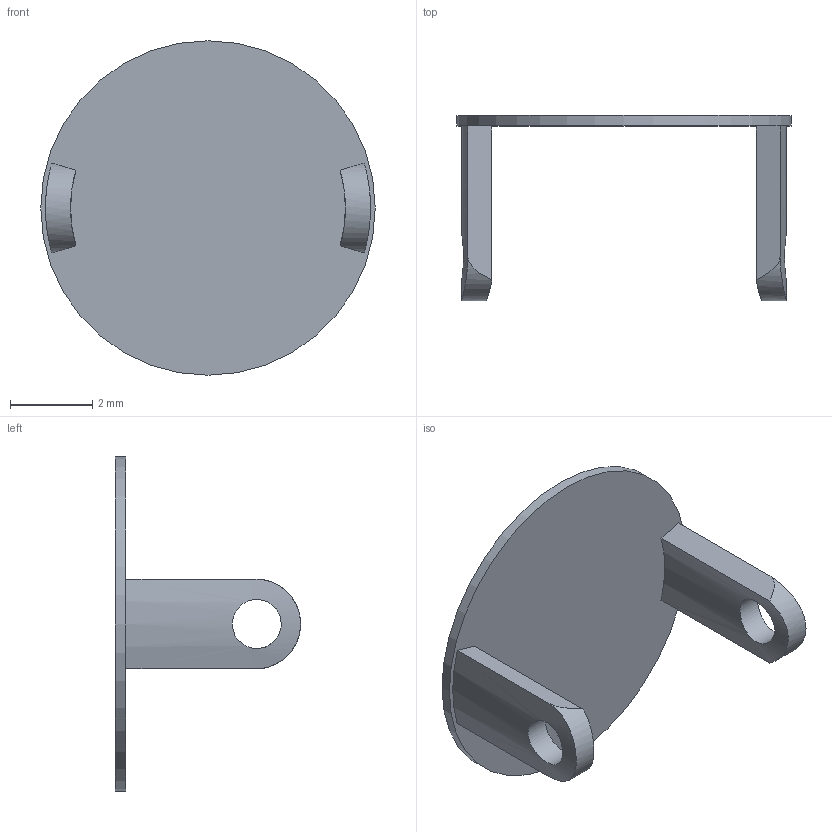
import cadquery as cq
import math

disc_diameter = 8.13
disc_thickness = 0.254
overall_depth = 4.5

lug_outer_radius = 3.95
lug_wall = 0.61
lug_inner_radius = lug_outer_radius - lug_wall
lug_height = 2.18
lug_half_angle = math.asin(lug_height / 2 / lug_outer_radius)

tip_radius = lug_height / 2
tip_center_y = tip_radius - overall_depth
hole_diameter = 1.19
hole_setback = 1.065
hole_center_y = hole_setback - overall_depth


def make_disc():
    return cq.Workplane("XZ").circle(disc_diameter / 2).extrude(disc_thickness)


def ring_point(radius, angle):
    return (radius * math.cos(angle), radius * math.sin(angle))


def make_ring_sectors():
    """Both lugs with square ends, running from the disc's back face to the full depth."""
    sectors = cq.Workplane("XZ")
    for direction in (0, math.pi):
        start = direction - lug_half_angle
        end = direction + lug_half_angle
        sectors = (
            sectors.moveTo(*ring_point(lug_outer_radius, start))
            .threePointArc(ring_point(lug_outer_radius, direction), ring_point(lug_outer_radius, end))
            .lineTo(*ring_point(lug_inner_radius, end))
            .threePointArc(ring_point(lug_inner_radius, direction), ring_point(lug_inner_radius, start))
            .close()
        )
    return sectors.extrude(overall_depth)


def make_side_profile():
    """Round-ended bar along X that trims the lug tips and leaves the cross hole."""
    bar = (
        cq.Workplane("YZ")
        .moveTo(0, -tip_radius)
        .lineTo(tip_center_y, -tip_radius)
        .threePointArc((-overall_depth, 0), (tip_center_y, tip_radius))
        .lineTo(0, tip_radius)
        .close()
        .extrude(disc_diameter / 2, both=True)
    )
    hole = (
        cq.Workplane("YZ")
        .center(hole_center_y, 0)
        .circle(hole_diameter / 2)
        .extrude(disc_diameter / 2, both=True)
    )
    return bar.cut(hole)


lugs = make_ring_sectors().intersect(make_side_profile())
result = make_disc().union(lugs)